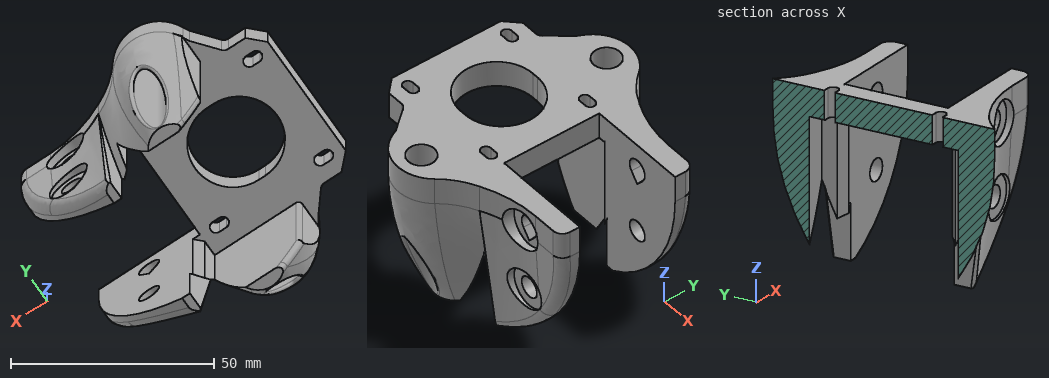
import cadquery as cq
import math

length = 72.0
width = 72.5
height = 48.0
plate_thickness = 8.0
plate_half_width = 21.0
plate_chamfer = 4.0
plate_bottom = height - plate_thickness
motor_x = 21.0

lug_x = 27.0
lug_radius = 11.5
lug_center_y = width / 2 - lug_radius
lug_flank_foot_x = 10.0
lug_flank_foot_radius = 1.95
lug_flank_top = (15.8, 28.15)
rod_hole_y = 29.0
rod_hole_diameter = 8.0
rod_hole_rim = 0.65

sweep_radius = 38.5
sweep_end_x = 62.0
arm_corner_radius = 3.0

center_hole_diameter = 22.5
center_hole_length = 24.4
bolt_spacing = 31.0
bolt_slot_width = 3.0
bolt_slot_length = 5.1
fork_x = 41.9
fork_half_width = 14.9

leg_left_x = 16.6
leg_right_x = 44.9
flank_angle = math.radians(51)
pocket_half_width = 21.3
pocket_corner_chamfer = 2.1
leg_edge_radius = 1.15
leg_mid_z = 8.0
leg_mid_nose = (28.9, 8.7)
leg_mid_right_y = 10.9
leg_foot_nose = (24.7, 6.3)
leg_foot_right_y = 5.8
leg_lower_sag = 0.1

wing_bottom_front_y = 20.5
wing_bottom_rear_y = 18.65
wing_bottom_sag = 0.35
wing_lead_chamfer = 0.9
wing_lead_chamfer_top = 0.1
wing_end_radius = 44.7

seat_x = 57.0
seat_depths = (8.0, 28.0)
seat_diameter = 12.0
seat_floor_y = 18.9
screw_diameter = 6.0
teardrop_drop = 4.8

tolerance = 0.1


def lug_y(x):
    """Y of the outer side of the lug circle at x."""
    return lug_center_y + math.sqrt(lug_radius**2 - (x - lug_x) ** 2)


def sweep_y(x):
    """Y of the concave sweep at x, which meets the arm tangentially."""
    return plate_half_width + sweep_radius - math.sqrt(sweep_radius**2 - (sweep_end_x - x) ** 2)


leg_left_y = lug_y(leg_left_x)
lug_right_x = lug_x + lug_radius * math.sin(flank_angle)
lug_right_y = lug_y(lug_right_x)
sweep_front_mid_x = (lug_right_x + leg_right_x) / 2
sweep_front_mid = (sweep_front_mid_x, sweep_y(sweep_front_mid_x))
sweep_joint = (leg_right_x, sweep_y(leg_right_x))
sweep_rear_mid_x = (leg_right_x + sweep_end_x) / 2


def make_plate():
    half = (
        cq.Workplane("XY")
        .workplane(offset=plate_bottom)
        .moveTo(0, 0)
        .lineTo(0, plate_half_width - plate_chamfer)
        .lineTo(plate_chamfer, plate_half_width)
        .lineTo(lug_flank_foot_x, plate_half_width)
        .lineTo(*lug_flank_top)
        .lineTo(leg_left_x, leg_left_y)
        .threePointArc((lug_x, width / 2), (lug_right_x, lug_right_y))
        .threePointArc(sweep_front_mid, sweep_joint)
        .threePointArc((sweep_rear_mid_x, sweep_y(sweep_rear_mid_x)), (sweep_end_x, plate_half_width))
        .lineTo(length, plate_half_width)
        .lineTo(length, 0)
        .close()
        .extrude(plate_thickness)
    )
    mid_z = height - plate_thickness / 2
    foot = cq.selectors.NearestToPointSelector((lug_flank_foot_x, plate_half_width, mid_z))
    half = half.edges(foot).fillet(lug_flank_foot_radius)
    corner = cq.selectors.NearestToPointSelector((length, plate_half_width, mid_z))
    return half.edges(corner).fillet(arm_corner_radius)


def leg_section(z, nose_y, nose_radius, right_end_y, right_sag):
    """Closed section of the leg: round nose between two flanks."""
    center_y = nose_y - nose_radius
    tangent_dx = nose_radius * math.sin(flank_angle)
    tangent_y = center_y + nose_radius * math.cos(flank_angle)
    left_x = lug_x - tangent_dx
    right_x = lug_x + tangent_dx
    left_end_y = tangent_y - (left_x - leg_left_x) * math.tan(flank_angle)
    mid_right = ((right_x + leg_right_x) / 2, (tangent_y + right_end_y) / 2 - right_sag)
    return (
        cq.Workplane("XY")
        .workplane(offset=z)
        .moveTo(leg_left_x, 0)
        .lineTo(leg_left_x, left_end_y)
        .lineTo(left_x, tangent_y)
        .threePointArc((lug_x, nose_y), (right_x, tangent_y))
        .threePointArc(mid_right, (leg_right_x, right_end_y))
        .lineTo(leg_right_x, 0)
        .close()
        .wires()
        .val()
    )


def make_rod_hole():
    return cq.Workplane("XY").center(lug_x, rod_hole_y).circle(rod_hole_diameter / 2).extrude(height)


def make_leg():
    top_sag = (lug_right_y + sweep_joint[1]) / 2 - sweep_front_mid[1]
    sections = [
        leg_section(plate_bottom, width / 2, lug_radius, sweep_joint[1], top_sag),
        leg_section(leg_mid_z, *leg_mid_nose, leg_mid_right_y, leg_lower_sag),
        leg_section(0, *leg_foot_nose, leg_foot_right_y, leg_lower_sag),
    ]
    leg = cq.Workplane(cq.Solid.makeLoft(sections[::-1]))
    pocket = (
        cq.Workplane("XY")
        .lineTo(0, pocket_half_width)
        .lineTo(fork_x, pocket_half_width)
        .lineTo(fork_x, fork_half_width + pocket_corner_chamfer)
        .lineTo(fork_x + pocket_corner_chamfer, fork_half_width)
        .lineTo(length, fork_half_width)
        .lineTo(length, 0)
        .close()
        .extrude(plate_bottom)
    )
    leg = leg.cut(pocket)
    left_inner_edges = cq.selectors.BoxSelector(
        (leg_left_x - tolerance, pocket_half_width - tolerance, tolerance),
        (lug_x - tolerance, pocket_half_width + tolerance, plate_bottom - tolerance),
    )
    leg = leg.edges(left_inner_edges).fillet(leg_edge_radius)
    leg = leg.cut(make_rod_hole())
    rim = cq.selectors.NearestToPointSelector((lug_x, rod_hole_y, leg_mid_z))
    return leg.edges(rim).fillet(rod_hole_rim)


def wing_section(z, front_y, rear_y, sweep_sag, lead_chamfer):
    mid_y = (front_y + rear_y) / 2 - sweep_sag
    return (
        cq.Workplane("XY")
        .workplane(offset=z)
        .moveTo(leg_right_x, fork_half_width)
        .lineTo(leg_right_x, front_y - lead_chamfer)
        .lineTo(leg_right_x + lead_chamfer, front_y)
        .threePointArc((sweep_rear_mid_x, mid_y), (sweep_end_x, rear_y))
        .lineTo(length, rear_y)
        .lineTo(length, fork_half_width)
        .close()
        .wires()
        .val()
    )


def make_wing():
    chord_y = (sweep_joint[1] + plate_half_width) / 2
    top_sag = chord_y - sweep_y(sweep_rear_mid_x)
    top = wing_section(plate_bottom, sweep_joint[1], plate_half_width, top_sag, wing_lead_chamfer_top)
    bottom = wing_section(0, wing_bottom_front_y, wing_bottom_rear_y, wing_bottom_sag, wing_lead_chamfer)
    wing = cq.Workplane(cq.Solid.makeLoft([bottom, top], True))
    end_round = (
        cq.Workplane("XZ")
        .center(length - wing_end_radius, plate_bottom)
        .circle(wing_end_radius)
        .extrude(-width)
    )
    wing = wing.intersect(end_round)
    outer_end = cq.selectors.BoxSelector(
        (leg_right_x + wing_lead_chamfer, wing_bottom_rear_y, wing_lead_chamfer),
        (length, plate_half_width + tolerance, plate_bottom - tolerance),
    )
    return wing.edges(outer_end).fillet(arm_corner_radius)


def make_screw_seats():
    cuts = cq.Workplane("XY")
    side = cq.Workplane("XZ")
    for depth in seat_depths:
        place = side.center(seat_x, height - depth)
        cuts = cuts.union(place.circle(screw_diameter / 2).extrude(-width / 2))
        seat = place.workplane(offset=-seat_floor_y).circle(seat_diameter / 2).extrude(-width / 2)
        cuts = cuts.union(seat)
    radius = screw_diameter / 2
    touch_y = radius**2 / teardrop_drop
    touch_x = math.sqrt(radius**2 - touch_y**2)
    tip = (
        side.center(seat_x, height - seat_depths[0])
        .polyline([(-touch_x, -touch_y), (touch_x, -touch_y), (0, -teardrop_drop)])
        .close()
        .extrude(-width / 2)
    )
    return cuts.union(tip)


def make_plate_openings():
    base = cq.Workplane("XY")
    fork = base.box(length, 2 * fork_half_width, height, centered=(False, True, False))
    fork = fork.translate((fork_x, 0, 0))
    center = base.center(motor_x, 0).slot2D(center_hole_length, center_hole_diameter).extrude(height)
    slots = (
        base.center(motor_x, 0)
        .rect(bolt_spacing, bolt_spacing, forConstruction=True)
        .vertices()
        .slot2D(bolt_slot_length, bolt_slot_width)
        .extrude(height)
    )
    return fork.union(center).union(slots)


plate_and_leg = make_plate().union(make_leg())
half = plate_and_leg.union(make_wing()).cut(make_rod_hole()).cut(make_screw_seats())
result = half.union(half.mirror("XZ")).cut(make_plate_openings())